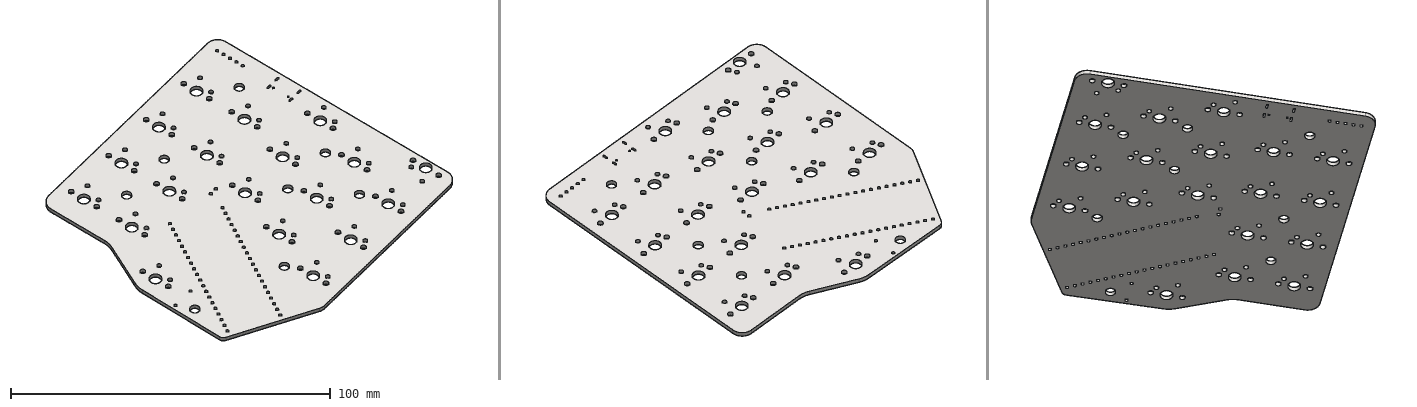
import cadquery as cq
import math

thickness = 1.6
half_width = 96.2 / 2
half_length = 98.1 / 2
lower_left_edge_y = -39.6
plate_corner_radius = 4.0
step_radius = 8.4
tip_radius = 2.0

step_start = (-20.9, lower_left_edge_y)
step_end = (-2.6, -48.6)
tip_rounding_loss = 0.02
tip = (31.4, -half_length - tip_rounding_loss)
right_edge_end = (half_width, -19.5)

header_pin_count = 20
header_row_length = 48.3
pin_pitch = header_row_length / (header_pin_count - 1)
pin_diameter = 1.0

key_pitch = 7.5 * pin_pitch
switch_post_diameter = 4.0
switch_peg_diameter = 1.8
switch_pin_diameter = 1.5
switch_peg_offset = 2 * pin_pitch
switch_pin_offsets = [(-pin_pitch, 2 * pin_pitch), (1.5 * pin_pitch, pin_pitch)]

middle_column_x = -0.45
outer_column_top_y = 27.2
column_stagger = 7.1
column_x = [middle_column_x + i * key_pitch for i in (-2, -1, 0, 1, 2)]
column_top_y = [outer_column_top_y + i * column_stagger for i in (0, 0, 2, 1, 0)]
column_key_count = [4, 4, 3, 3, 3]
thumb_key = (-0.4, -42.4)

mounting_diameter = 3.2
thumb_mounting_hole = (17.1, -44.7)
mounting_places = [(0, -0.5), (0, 1.5), (0, 2.5), (2, 0.5), (2, 1.5), (3, 0.5), (3, 2.5)]

header_angle = -30
header_row_spacing = 7 * pin_pitch
header_first_pin = (-2.2, -6.1)

side_header_first_pin = (-43.9, 44.4)
side_header_pin_count = 5
jumper_diameter = 1.1
jumper_pin_count = 2
jumper_top_pin = (-8.6, -1.2)
thumb_pin_x = 11.4
thumb_pin_top_y = -39.6
thumb_pin_spacing = 3 * pin_pitch

usb_center_x = -17.5
usb_slot_offset = 4.3
usb_slot_width = 0.6
usb_slot_length = 1.7
usb_front_slot_y = 46.7
usb_rear_slot_y = 42.6
usb_peg_diameter = 0.6
usb_peg_offset = 2.9
usb_peg_y = 43.1


def make_plate():
    top_left = (-half_width, half_length)
    top_right = (half_width, half_length)
    bottom_left = (-half_width, lower_left_edge_y)
    outline = [top_left, top_right, right_edge_end, tip, step_end, step_start, bottom_left]
    body = cq.Workplane("XY").polyline(outline).close().extrude(thickness)
    for radius, corners in (
        (plate_corner_radius, [top_left, top_right, right_edge_end, bottom_left]),
        (step_radius, [step_start, step_end]),
        (tip_radius, [tip]),
    ):
        for x, y in corners:
            nearest = cq.selectors.NearestToPointSelector((x, y, thickness / 2))
            body = body.edges("|Z").edges(nearest).fillet(radius)
    return body


def holes(points, diameter):
    return cq.Workplane("XY").pushPoints(points).circle(diameter / 2).extrude(thickness)


def slots(points, length, width):
    return cq.Workplane("XY").pushPoints(points).slot2D(length, width, 90).extrude(thickness)


def pin_row(first, count, angle):
    """Pin centres in a straight row; the angle is in degrees from +X."""
    step_x = pin_pitch * math.cos(math.radians(angle))
    step_y = pin_pitch * math.sin(math.radians(angle))
    return [(first[0] + i * step_x, first[1] + i * step_y) for i in range(count)]


keys = [
    (x, top_y - row * key_pitch, 1)
    for x, top_y, count in zip(column_x, column_top_y, column_key_count)
    for row in range(count)
]
keys.append((column_x[-1], column_top_y[-1] + key_pitch, -1))
keys.append((*thumb_key, 1))

switch_posts = [(x, y) for x, y, _ in keys]
switch_pegs = [(x + side * switch_peg_offset, y) for x, y, _ in keys for side in (-1, 1)]
switch_pins = [(x + turn * dx, y + turn * dy) for x, y, turn in keys for dx, dy in switch_pin_offsets]

mounting_holes = [
    (column_x[column] + key_pitch / 2, column_top_y[column] - row * key_pitch)
    for column, row in mounting_places
]
mounting_holes.append(thumb_mounting_hole)

across = math.radians(header_angle - 90)
header_second_row_pin = (
    header_first_pin[0] + header_row_spacing * math.cos(across),
    header_first_pin[1] + header_row_spacing * math.sin(across),
)
pins = pin_row(header_first_pin, header_pin_count, header_angle)
pins += pin_row(header_second_row_pin, header_pin_count, header_angle)
pins += pin_row(side_header_first_pin, side_header_pin_count, 0)
pins += [(thumb_pin_x, thumb_pin_top_y), (thumb_pin_x, thumb_pin_top_y - thumb_pin_spacing)]

jumper_holes = pin_row(jumper_top_pin, jumper_pin_count, -90)

usb_slot_x = [usb_center_x - usb_slot_offset, usb_center_x + usb_slot_offset]
usb_slots = [(x, y) for x in usb_slot_x for y in (usb_front_slot_y, usb_rear_slot_y)]
usb_pegs = [(usb_center_x + side * usb_peg_offset, usb_peg_y) for side in (-1, 1)]

result = (
    make_plate()
    .cut(holes(switch_posts, switch_post_diameter))
    .cut(holes(switch_pegs, switch_peg_diameter))
    .cut(holes(switch_pins, switch_pin_diameter))
    .cut(holes(mounting_holes, mounting_diameter))
    .cut(holes(pins, pin_diameter))
    .cut(holes(jumper_holes, jumper_diameter))
    .cut(slots(usb_slots, usb_slot_length, usb_slot_width))
    .cut(holes(usb_pegs, usb_peg_diameter))
)